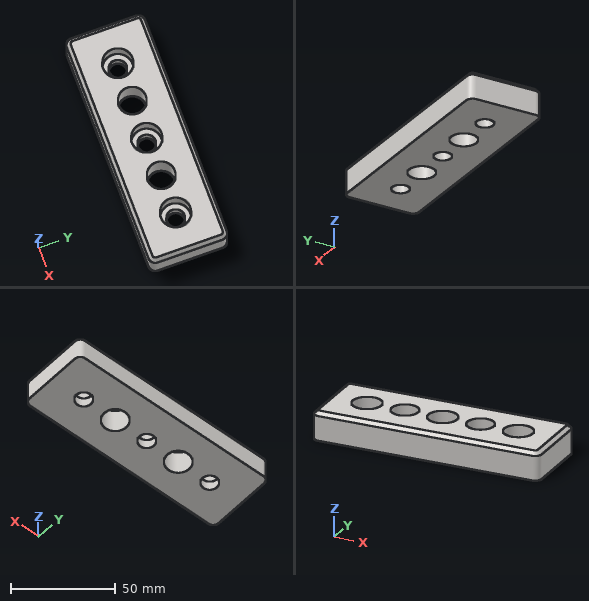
import cadquery as cq

length = 120.0
width = 40.0
height = 15.0
corner_radius = 3.5
top_chamfer = 2.0

hole_pitch = length / 6
plain_hole_diameter = 13.8
screw_hole_diameter = 9.0
counterbore_diameter = 15.0
counterbore_depth = 9.0

plain_hole_places = [(side * hole_pitch, 0) for side in (-1, 1)]
screw_hole_places = [(side * 2 * hole_pitch, 0) for side in (-1, 0, 1)]


def make_block():
    """Block with rounded upright corners and a chamfered top rim, resting on Z = 0."""
    block = cq.Workplane("XY").box(length, width, height, centered=(True, True, False))
    block = block.edges("|Z").fillet(corner_radius)
    return block.faces(">Z").edges().chamfer(top_chamfer)


def cut_plain_holes(block):
    """Through holes between the screw holes."""
    top = block.faces(">Z").workplane(origin=(0, 0, height))
    return top.pushPoints(plain_hole_places).hole(plain_hole_diameter)


def cut_screw_holes(block):
    """Through holes counterbored from the top, at the centre and near both ends."""
    top = block.faces(">Z").workplane(origin=(0, 0, height))
    return top.pushPoints(screw_hole_places).cboreHole(
        screw_hole_diameter, counterbore_diameter, counterbore_depth
    )


result = cut_screw_holes(cut_plain_holes(make_block()))